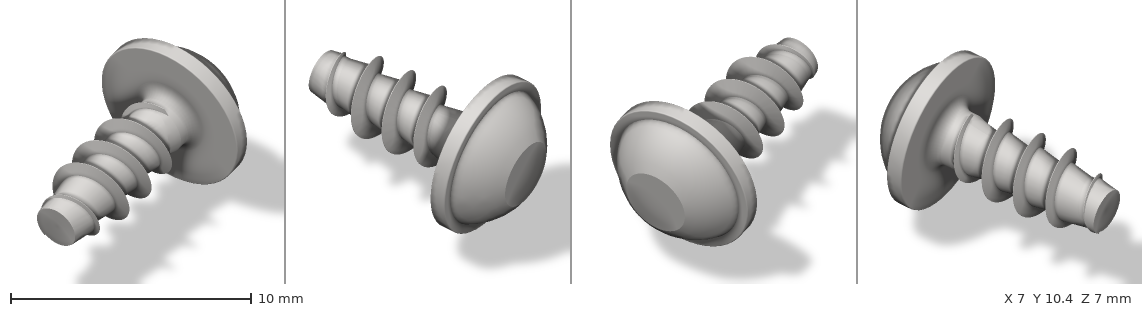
import cadquery as cq
import math

total_length = 10.4
flange_diameter = 7.0
flange_thickness = 0.73
flange_edge_fillet = 0.05
shaft_length = 8.0
dome_height = total_length - shaft_length - flange_thickness
dome_base_radius = 3.05
dome_top_radius = 1.49

shank_radius = 1.24
neck_fillet = 0.5
shank_depth = 0.87
shank_cone_end = 1.72
core_radius = 1.01
tip_cone_length = 0.73
tip_radius = 0.96
dimple_radius = 0.93
dimple_depth = 0.06

pitch = 1.57
thread_depth = 0.94
crest_radius = 1.75
crest_half_width = 0.01
flank_slope = 0.34
buried_radius = 0.83
thread_start = -0.3
fade_in_rate = 0.32
fade_in_end = 1.0
fade_out_start = 3.0
fade_out_rate = 0.53
thread_end = 4.4

foot_radius = 0.99
root_top_radius = 1.22
root_slope = 0.17
root_width = 1.28
root_sink = 0.15
root_sink_start = 3.6
root_sink_end = 4.0
min_ridge = 0.005

samples_per_face = 12


def revolve_y(profile):
    return profile.close().revolve(360, (0, 0, 0), (0, 1, 0))


def make_dome():
    """Spherical cap with a flat top."""
    center_drop = (
        dome_base_radius**2 - dome_top_radius**2 + dome_height**2
    ) / (2 * dome_height)
    sphere_radius = math.hypot(dome_top_radius, center_drop)
    top = flange_thickness + dome_height
    middle_angle = math.radians(45)
    middle = (
        sphere_radius * math.cos(middle_angle),
        top - center_drop + sphere_radius * math.sin(middle_angle),
    )
    profile = (
        cq.Workplane("XY")
        .moveTo(0, flange_thickness)
        .lineTo(dome_base_radius, flange_thickness)
        .threePointArc(middle, (dome_top_radius, top))
        .lineTo(0, top)
    )
    return revolve_y(profile)


def make_flange():
    disc = cq.Workplane("XZ").circle(flange_diameter / 2).extrude(-flange_thickness)
    return disc.edges().fillet(flange_edge_fillet)


def make_neck():
    """Plain shank with a fillet against the flange."""
    arc_offset = neck_fillet * (1 - math.sqrt(0.5))
    profile = (
        cq.Workplane("XY")
        .lineTo(shank_radius + neck_fillet, 0)
        .threePointArc((shank_radius + arc_offset, -arc_offset), (shank_radius, -neck_fillet))
        .lineTo(shank_radius, -shank_depth)
        .lineTo(0, -shank_depth)
    )
    return revolve_y(profile)


def make_core():
    """Slim core, widened to the shank at one end and narrowed at the tip."""
    profile = (
        cq.Workplane("XY")
        .moveTo(0, -shank_depth)
        .lineTo(shank_radius, -shank_depth)
        .lineTo(core_radius, -shank_cone_end)
        .lineTo(core_radius, tip_cone_length - shaft_length)
        .lineTo(tip_radius, -shaft_length)
        .lineTo(0, -shaft_length)
    )
    return revolve_y(profile)


def make_dimple():
    """Shallow cone sunk into the tip face."""
    profile = (
        cq.Workplane("XY")
        .moveTo(0, -shaft_length)
        .lineTo(dimple_radius, -shaft_length)
        .lineTo(0, dimple_depth - shaft_length)
    )
    return revolve_y(profile)


def helix_point(turn, radius, offset):
    """Point on a right-hand helix, moved toward the tip by offset."""
    angle = 2 * math.pi * turn
    depth = thread_depth + pitch * turn + offset
    return cq.Vector(-radius * math.sin(angle), -depth, radius * math.cos(angle))


def helical_faces(section, start, end):
    """Side faces between two turn values; section(turn) lists (radius, offset) corners."""
    turns = [start + (end - start) * i / samples_per_face for i in range(samples_per_face + 1)]
    rows = [[helix_point(t, *corner) for corner in section(t)] for t in turns]
    rails = [cq.Edge.makeSpline(list(points)) for points in zip(*rows)]
    return [
        cq.Face.makeRuledSurface(rail, rails[(i + 1) % len(rails)])
        for i, rail in enumerate(rails)
    ]


def end_cap(section, turn):
    corners = [helix_point(turn, *corner) for corner in section(turn)]
    return cq.Face.makeFromWires(cq.Wire.makePolygon(corners, close=True))


def helical_solid(section, turns):
    """Solid along the helix, its sides split at the given turn values."""
    faces = [end_cap(section, turns[0]), end_cap(section, turns[-1])]
    for start, end in zip(turns, turns[1:]):
        faces += helical_faces(section, start, end)
    return cq.Workplane(cq.Solid.makeSolid(cq.Shell.makeShell(faces)))


def ramp_radius(offset):
    """Radius of the root at an axial distance below the crest."""
    return root_top_radius - root_slope * offset


def thread_section(turn):
    """Tapered ridge followed by the root that falls toward the next ridge."""
    rise = fade_in_rate * max(0, fade_in_end - turn)
    fade = fade_out_rate * max(0, turn - fade_out_start)
    crest = crest_radius - rise - fade
    foot = crest_half_width + flank_slope * max(0, crest - foot_radius)

    sunk = min(1, max(0, (turn - root_sink_start) / (root_sink_end - root_sink_start)))
    sink = root_sink * sunk

    join_drop = crest - ramp_radius(crest_half_width) + sink
    join = crest_half_width + max(join_drop, min_ridge) / (1 / flank_slope - root_slope)
    return [
        (buried_radius, -foot),
        (foot_radius, -foot),
        (crest, -crest_half_width),
        (crest, crest_half_width),
        (ramp_radius(join) - sink, join),
        (ramp_radius(root_width) - sink, root_width),
        (buried_radius, root_width),
    ]


thread_zone = (
    cq.Workplane("XZ", origin=(0, -shank_depth, 0))
    .circle(flange_diameter / 2)
    .extrude(shaft_length - shank_depth)
)
face_breaks = [0, 0.5, fade_in_end, 1.5, 2, 2.5, fade_out_start, root_sink_start, root_sink_end]
thread = helical_solid(thread_section, [thread_start, *face_breaks, thread_end])
threaded_shaft = make_core().union(thread).intersect(thread_zone)

result = make_flange().union(make_dome()).union(make_neck()).union(threaded_shaft).cut(make_dimple())